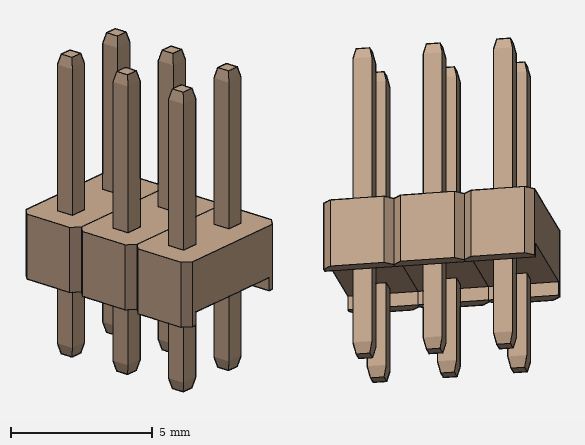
import cadquery as cq

module_count = 3
pitch = 2.54
pin_rows = 2

pin_length = 11.5
pin_side = 0.69
tip_height = 0.4
tip_side = 0.5

block_width = pitch
block_depth = pin_rows * pitch
block_bottom = 3.0
block_height = 2.5
corner_chamfer = 0.3
channel_width = 4.08
channel_height = 0.51


def make_block():
    """Chamfered block with a channel along X that leaves a foot on each side."""
    block = (
        cq.Workplane("XY", origin=(0, 0, block_bottom))
        .rect(block_width, block_depth)
        .extrude(block_height)
        .edges("|Z")
        .chamfer(corner_chamfer)
    )
    channel = (
        cq.Workplane("XY", origin=(0, 0, block_bottom))
        .rect(block_width, channel_width)
        .extrude(channel_height)
    )
    return block.cut(channel)


def make_tip(base_height, end_height):
    """Square taper from the full pin section to the small end section."""
    return (
        cq.Workplane("XY", origin=(0, 0, base_height))
        .rect(pin_side, pin_side)
        .workplane(offset=end_height - base_height)
        .rect(tip_side, tip_side)
        .loft(ruled=True)
    )


def make_pin():
    """Square pin with a tapered tip at both ends."""
    upper_tip_base = pin_length - tip_height
    shank = (
        cq.Workplane("XY", origin=(0, 0, tip_height))
        .rect(pin_side, pin_side)
        .extrude(upper_tip_base - tip_height)
    )
    lower_tip = make_tip(tip_height, 0)
    upper_tip = make_tip(upper_tip_base, pin_length)
    return shank.union(lower_tip).union(upper_tip)


def centred_position(index, count):
    """Place of one item in an evenly pitched row centred on the origin."""
    return (index - (count - 1) / 2) * pitch


def make_module():
    """One block moulded together with its row of pins, as a single solid."""
    module = make_block()
    pin = make_pin()
    for row in range(pin_rows):
        module = module.union(pin.translate((0, centred_position(row, pin_rows), 0)))
    return module


module = make_module()
modules = []
for column in range(module_count):
    placed_module = module.translate((centred_position(column, module_count), 0, 0))
    modules.append(placed_module.solids().val())

result = cq.Compound.makeCompound(modules)